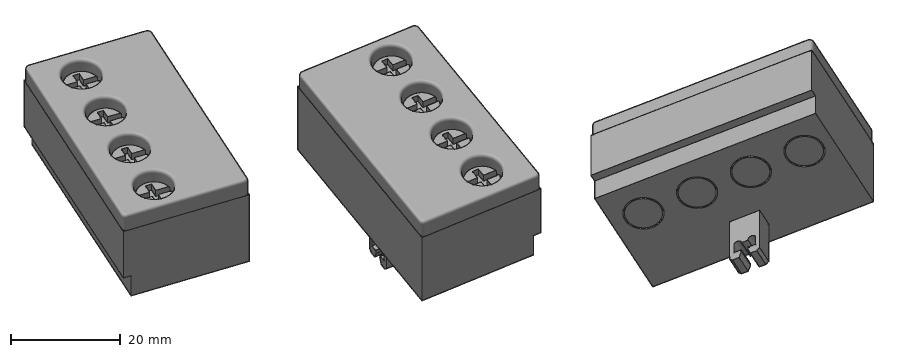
import cadquery as cq

overall_height = 31.1
block_length = 45
block_width = 25.0
block_height = 20.0
cap_height = 3.7
base_height = block_height - cap_height
cap_corner_radius = 0.9
cap_edge_radius = 0.6

step_depth = 1.55
step_height = 4.95

screw_count = 4
screw_pitch = 10.95
screw_row_x = 0.25
screw_row_y = -3.85
well_radius = 3.75
well_edge_radius = 0.68

screw_clearance = 0.25
screw_radius = well_radius - screw_clearance
screw_sink = 2.25
screw_top = block_height - screw_sink
screw_edge_radius = 0.5
slot_width = 1.2
slot_depth = 1.5
short_slot_length = 4.95

foot_length = overall_height - block_height
foot_width = 6.1
foot_thickness = 3.7
foot_center_y = 6.85
foot_corner_chamfer = 0.6

window_half_width = 2.2
window_floor = 1.95
lobe_radius = 0.75
lobe_height = 4.0
bump_sag = 0.1
lip_height = 2.05
lip_half_width = 0.7
lip_setback = 0.2
throat_half_width = 0.65
throat_height = 1.45
mouth_half_width = 1.12


def screw_places():
    """Centers of the screws along the row."""
    first_x = screw_row_x - screw_pitch * (screw_count - 1) / 2
    return [(first_x + i * screw_pitch, screw_row_y) for i in range(screw_count)]


def box_on(length, width, height, bottom):
    """A box centered on the Z axis, standing at the given height."""
    return cq.Workplane("XY").workplane(offset=bottom).rect(length, width).extrude(height)


def cut_wells(body):
    """Cut the screw wells right through a body."""
    wells = cq.Workplane("XY").pushPoints(screw_places()).circle(well_radius).extrude(block_height)
    return body.cut(wells)


def make_foot():
    """A flat foot hanging under the base, with chamfered lower corners and a snap window."""
    foot = (
        cq.Workplane("XY")
        .center(0, foot_center_y)
        .rect(foot_width, foot_thickness)
        .extrude(-foot_length)
        .edges("|Y and <Z")
        .chamfer(foot_corner_chamfer)
    )
    return foot.cut(make_foot_window())


def make_foot_window():
    """The window opening, drawn with heights measured up from the tip of the foot."""
    lobe_outer = window_half_width
    lobe_center = lobe_outer - lobe_radius
    lobe_inner = lobe_center - lobe_radius
    lobe_top = lobe_height + lobe_radius
    outline = (
        cq.Workplane("XZ", origin=(0, foot_center_y, -foot_length))
        .moveTo(-mouth_half_width, 0)
        .lineTo(-throat_half_width, throat_height)
        .lineTo(-lip_half_width, lip_height)
        .lineTo(-lip_half_width - lip_setback, window_floor)
        .lineTo(-lobe_outer, window_floor)
        .lineTo(-lobe_outer, lobe_height)
        .threePointArc((-lobe_center, lobe_top), (-lobe_inner, lobe_height))
        .threePointArc((0, lobe_height - bump_sag), (lobe_inner, lobe_height))
        .threePointArc((lobe_center, lobe_top), (lobe_outer, lobe_height))
        .lineTo(lobe_outer, window_floor)
        .lineTo(lip_half_width + lip_setback, window_floor)
        .lineTo(lip_half_width, lip_height)
        .lineTo(throat_half_width, throat_height)
        .lineTo(mouth_half_width, 0)
        .close()
    )
    return outline.extrude(foot_thickness / 2, both=True)


def make_base():
    """The lower block with its front step, screw wells and foot."""
    block = box_on(block_length, block_width, base_height, 0)
    step = box_on(block_length, 2 * step_depth, step_height, 0).translate((0, -block_width / 2, 0))
    return cut_wells(block.cut(step)).union(make_foot())


def make_cap():
    """The upper block, with rounded corners, a rounded top rim and rounded well mouths."""
    cap = (
        box_on(block_length, block_width, cap_height, base_height)
        .edges("|Z")
        .fillet(cap_corner_radius)
        .faces(">Z")
        .edges()
        .fillet(cap_edge_radius)
    )
    return cut_wells(cap).faces(">Z").edges("%CIRCLE").fillet(well_edge_radius)


def make_screw(place):
    """A round screw with a cross recess: one slot runs right across, the other stops short."""
    screw = (
        cq.Workplane("XY")
        .circle(screw_radius)
        .extrude(screw_top)
        .faces(">Z")
        .edges()
        .fillet(screw_edge_radius)
    )
    slot_floor = screw_top - slot_depth
    long_slot = box_on(slot_width, 2 * screw_radius, slot_depth, slot_floor)
    short_slot = box_on(short_slot_length, slot_width, slot_depth, slot_floor)
    return screw.cut(long_slot).cut(short_slot).translate((*place, 0))


base = make_base()
cap = make_cap()
screws = [make_screw(place) for place in screw_places()]

result = cq.Compound.makeCompound([base.val(), cap.val(), *[screw.val() for screw in screws]])